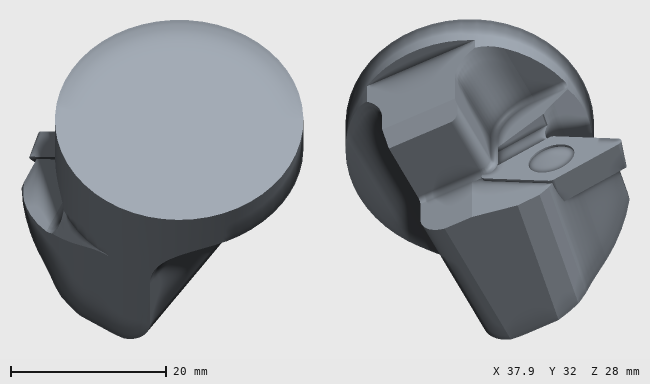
import cadquery as cq
import math

head_radius = 16.0
head_height = 28.0
margin = 11.35

neck_right = 5.55
rim_edge_z = -6.02
rim_inner_x = 13.35
rim_inner_z = -6.3
neck_arc_mid = (7.88, -8.67)
neck_top_z = -14.4
corner_start_z = -23.33
corner_mid = (4.7, -26.05)
corner_end_x = 2.1

back_flat_y = 13.97
back_rim_depth = 5.05

gullet_floor_y = 3.05
core_left = -4.92
core_bottom = -18.95
gullet_radius = 5.9
core_corner_radius = 1.5
gullet_fillet = 0.72
core_chamfer = 1.9

tooth_flat_x = -3.95
tooth_arc_radius = 18.33
tooth_edge_x = -18.85
land_top_z = -11.63
land_slope = 1.73

insert_tip_x = -21.87
insert_tip_z = -19.55
insert_lean = 10.0
half_angle = 27.5
insert_circle = 9.55
insert_thickness = 3.98
insert_relief = 7.0
nose_radius = 0.8
recess_diameter = 6.17
recess_depth = 0.35

seat_recess = 0.45
seat_wall_start = (10.22, 8.95)

flank_tip = 1.55
flank_tip_half = 0.3
gullet_low = (8.45, 3.75)
gullet_mid = (10.38, 6.8)
gullet_high = (8.65, 10.65)
gullet_slope = 0.89
heel_start = (6.5, -2.88)
heel_mid = (8.5, -4.15)
heel_end = (9.92, -6.0)
heel_bend = (11.15, -7.25)
heel_bottom = 14.1

lean_cos = math.cos(math.radians(insert_lean))
lean_sin = math.sin(math.radians(insert_lean))
flank_slope = math.tan(math.radians(half_angle))


def rake_plane(depth=0.0):
    """Plane on the rake face: x runs inward from the tip, y is Z, normal points into the tooth."""
    return cq.Plane(
        origin=(insert_tip_x + depth * lean_sin, -depth * lean_cos, insert_tip_z),
        xDir=(lean_cos, lean_sin, 0),
        normal=(lean_sin, -lean_cos, 0),
    )


def insert_outline():
    """Rhombus whose rounded nose touches the plane origin."""
    side = insert_circle / math.sin(math.radians(2 * half_angle))
    half_length = side * math.cos(math.radians(half_angle))
    half_width = side * math.sin(math.radians(half_angle))
    nose_setback = nose_radius / math.sin(math.radians(half_angle)) - nose_radius
    center = half_length - nose_setback
    corners = [
        (center - half_length, 0),
        (center, -half_width),
        (center + half_length, 0),
        (center, half_width),
    ]
    outline = cq.Sketch().polygon(corners + corners[:1]).vertices().fillet(nose_radius)
    return cq.Workplane(rake_plane()).placeSketch(outline), center


def make_insert_blank():
    """Insert without its recess, also the shape of its pocket."""
    outline, _ = insert_outline()
    return outline.extrude(insert_thickness, taper=insert_relief)


def make_insert():
    """Insert with a shallow round recess in its rake face."""
    _, center = insert_outline()
    recess = cq.Workplane(rake_plane()).center(center, 0).circle(recess_diameter / 2).extrude(recess_depth)
    return make_insert_blank().cut(recess)


def make_head_blank():
    """Round head plus the tooth that stands out of it, with a conical upper land."""
    head = cq.Workplane("XY").circle(head_radius).extrude(-head_height)

    arc_center_y = tooth_arc_radius - head_radius
    edge_reach = tooth_flat_x - tooth_edge_x
    tooth_edge_y = arc_center_y - math.sqrt(tooth_arc_radius**2 - edge_reach**2)
    mid_angle = math.asin(edge_reach / tooth_arc_radius) / 2
    arc_mid = (
        tooth_flat_x - tooth_arc_radius * math.sin(mid_angle),
        arc_center_y - tooth_arc_radius * math.cos(mid_angle),
    )
    tooth = (
        cq.Workplane("XY", origin=(0, 0, -head_height))
        .moveTo(0, -head_radius)
        .lineTo(tooth_flat_x, -head_radius)
        .threePointArc(arc_mid, (tooth_edge_x, tooth_edge_y))
        .lineTo(insert_tip_x + flank_tip * lean_cos, flank_tip * lean_sin)
        .lineTo(0, gullet_floor_y)
        .close()
        .extrude(head_height + land_top_z)
    )
    cone_radius = head_radius + (head_height + land_top_z) / land_slope
    land = (
        cq.Workplane("XZ")
        .polyline([(0, land_top_z), (head_radius, land_top_z), (cone_radius, -head_height), (0, -head_height)])
        .close()
        .revolve(360, (0, 0, 0), (0, 1, 0))
    )
    return head.union(tooth.intersect(land))


def make_neck_cut():
    """Space under the rim on the right-hand side, cut straight through along Y."""
    return (
        cq.Workplane("XZ")
        .moveTo(head_radius + margin, rim_edge_z)
        .lineTo(head_radius, rim_edge_z)
        .lineTo(rim_inner_x, rim_inner_z)
        .threePointArc(neck_arc_mid, (neck_right, neck_top_z))
        .lineTo(neck_right, corner_start_z)
        .threePointArc(corner_mid, (corner_end_x, -head_height))
        .lineTo(corner_end_x, -head_height - margin)
        .lineTo(head_radius + margin, -head_height - margin)
        .close()
        .extrude(2 * head_radius, both=True)
    )


def make_back_cut():
    """Flat behind the neck, with a chamfer at the foot of the core block."""
    reach = head_radius + margin
    return (
        cq.Workplane("YZ")
        .moveTo(reach, -back_rim_depth)
        .lineTo(back_flat_y, -back_rim_depth)
        .lineTo(back_flat_y, core_bottom + core_chamfer)
        .lineTo(back_flat_y - core_chamfer, core_bottom)
        .lineTo(back_flat_y - core_chamfer, core_bottom - margin)
        .lineTo(reach, core_bottom - margin)
        .close()
        .extrude(reach, both=True)
    )


def make_gullet_cut():
    """Chip space behind the tooth: beside and below the core block."""
    left = -head_radius - 2 * margin
    right = head_radius + margin
    bottom = -head_height - margin
    diagonal = math.sqrt(0.5)
    arc_center = (core_left - gullet_radius, rim_edge_z - gullet_radius)
    corner_center = (core_left + core_corner_radius, core_bottom + core_corner_radius)
    arc_mid = (arc_center[0] + gullet_radius * diagonal, arc_center[1] + gullet_radius * diagonal)
    corner_mid_point = (
        corner_center[0] - core_corner_radius * diagonal,
        corner_center[1] - core_corner_radius * diagonal,
    )
    return (
        cq.Workplane("XZ", origin=(0, gullet_floor_y, 0))
        .moveTo(left, rim_edge_z)
        .lineTo(arc_center[0], rim_edge_z)
        .threePointArc(arc_mid, (core_left, arc_center[1]))
        .lineTo(core_left, corner_center[1])
        .threePointArc(corner_mid_point, (corner_center[0], core_bottom))
        .lineTo(right, core_bottom)
        .lineTo(right, bottom)
        .lineTo(left, bottom)
        .close()
        .extrude(-2 * head_radius)
        .faces("<Y")
        .edges()
        .fillet(gullet_fillet)
    )


def make_flank_cut():
    """Everything outside the tooth flanks, swept square to the rake face."""
    bottom = -head_height - insert_tip_z
    outer = -margin
    gullet_top = gullet_high[1] + gullet_slope * (gullet_high[0] - outer)
    return (
        cq.Workplane(rake_plane(-margin))
        .moveTo(outer, gullet_top)
        .lineTo(*gullet_high)
        .threePointArc(gullet_mid, gullet_low)
        .lineTo(flank_tip, flank_tip_half)
        .lineTo(flank_tip, -flank_tip_half)
        .lineTo(*heel_start)
        .threePointArc(heel_mid, heel_end)
        .lineTo(*heel_bend)
        .lineTo(heel_bottom, bottom)
        .lineTo(outer, bottom)
        .close()
        .extrude(2 * head_radius + margin)
    )


def make_seat_cut():
    """Leaning face around the insert, ended by a wall parallel to an insert side, no higher than the gullet floor."""
    start_x, start_z = seat_wall_start
    reach = head_radius + margin
    side = 4 * reach
    bottom = -head_height - insert_tip_z
    seat = (
        cq.Workplane(rake_plane(seat_recess))
        .polyline([
            (0, start_z),
            (start_x, start_z),
            (start_x + reach, start_z - reach * flank_slope),
            (start_x + reach, bottom),
            (0, bottom),
        ])
        .close()
        .extrude(-margin)
    )
    above_floor = cq.Workplane("XZ", origin=(0, gullet_floor_y, 0)).rect(side, side).extrude(-reach)
    return seat.cut(above_floor)


def make_holder():
    """Cutter head with its chip spaces and the pocket that holds the insert."""
    holder = make_head_blank()
    cutters = [
        make_neck_cut(),
        make_back_cut(),
        make_gullet_cut(),
        make_flank_cut(),
        make_seat_cut(),
        make_insert_blank(),
    ]
    for cutter in cutters:
        holder = holder.cut(cutter)
    return holder


holder = make_holder()
insert = make_insert()

result = cq.Compound.makeCompound([holder.val(), insert.val()])